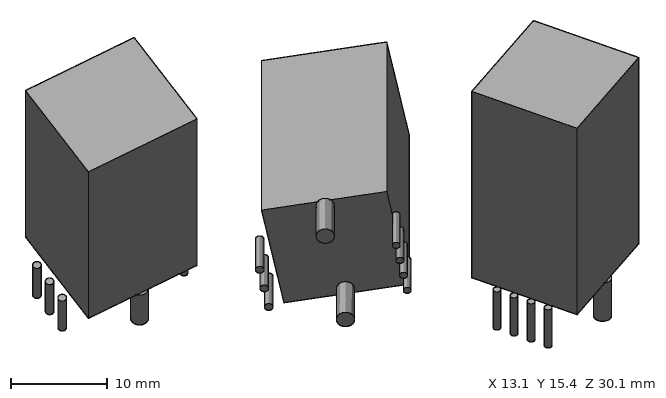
import cadquery as cq

HOUSING_WIDTH = 12.45
HOUSING_DEPTH = 13.2
HOUSING_HEIGHT = 24.98

TOTAL_HEIGHT = 30.1
PIN_LENGTH = TOTAL_HEIGHT - HOUSING_HEIGHT

POST_DIAMETER = 1.9
POST_OUTER_SPAN = 13.1
POST_SPACING = POST_OUTER_SPAN - POST_DIAMETER

FRONT_PIN_COUNT = 3
FRONT_PIN_DIAMETER = 0.9
FRONT_PIN_PITCH = 2.5
FRONT_ROW_Y = -7.5

REAR_PIN_COUNT = 4
REAR_PIN_DIAMETER = 0.8
OVERALL_DEPTH = 15.35
REAR_PIN_PITCH = 2.02
REAR_ROW_Y = FRONT_ROW_Y + OVERALL_DEPTH - (FRONT_PIN_DIAMETER + REAR_PIN_DIAMETER) / 2


def make_housing():
    """Plain block with its underside at Z = 0."""
    return cq.Workplane("XY").box(
        HOUSING_WIDTH, HOUSING_DEPTH, HOUSING_HEIGHT, centered=(True, True, False)
    )


def make_pin(diameter, x, y):
    """Round pin hanging down from Z = 0."""
    return cq.Workplane("XY").center(x, y).circle(diameter / 2).extrude(-PIN_LENGTH)


def make_pin_row(count, diameter, pitch, y):
    """Separate pins evenly spaced along X, centred on X = 0."""
    first_x = -pitch * (count - 1) / 2
    return [make_pin(diameter, first_x + i * pitch, y).val() for i in range(count)]


housing = make_housing()
mounting_posts = make_pin_row(2, POST_DIAMETER, POST_SPACING, 0)
front_pins = make_pin_row(FRONT_PIN_COUNT, FRONT_PIN_DIAMETER, FRONT_PIN_PITCH, FRONT_ROW_Y)
rear_pins = make_pin_row(REAR_PIN_COUNT, REAR_PIN_DIAMETER, REAR_PIN_PITCH, REAR_ROW_Y)

result = cq.Compound.makeCompound([housing.val(), *mounting_posts, *front_pins, *rear_pins])